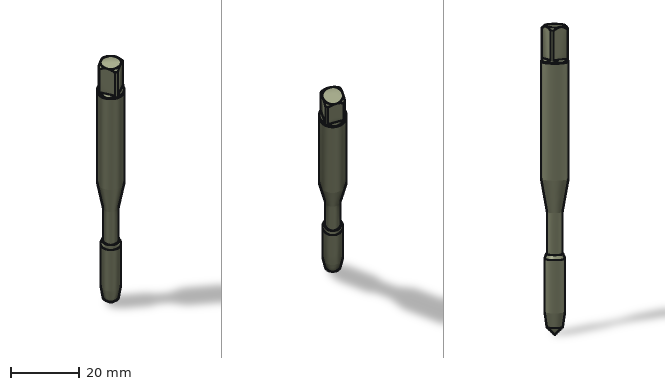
import cadquery as cq

total_length = 92.2
chamfer_base_z = 81.5
taper_top_z = 46.6
neck_top_z = 36.6
neck_bottom_z = 24.15
thread_top_z = 22.8
lead_top_z = 6.8

shank_diameter = 8.1
drive_diameter = 7.7
neck_diameter = 4.6
thread_diameter = 6.1
thread_face_diameter = 5.0
tip_diameter = 4.8

square_width = 6.1
top_diameter = square_width

shank_radius = shank_diameter / 2
drive_radius = drive_diameter / 2
neck_radius = neck_diameter / 2
thread_radius = thread_diameter / 2
thread_face_radius = thread_face_diameter / 2
tip_radius = tip_diameter / 2
top_radius = top_diameter / 2
tip_height = tip_radius
top_chamfer_height = drive_radius - top_radius
shoulder_height = shank_radius - drive_radius
flat_bottom_z = chamfer_base_z + shank_radius - square_width / 2


def revolve_profile(points):
    """Turn a closed (radius, height) outline about the Z axis."""
    return cq.Workplane("XZ").polyline(points).close().revolve(360, (0, 0), (0, 1))


def make_square_envelope():
    """Space left by the four drive flats and their 45 degree run-outs."""
    runout_height = flat_bottom_z - chamfer_base_z
    square = (
        cq.Workplane("XY")
        .workplane(offset=flat_bottom_z)
        .rect(square_width, square_width)
        .extrude(total_length - flat_bottom_z)
    )
    runout = (
        cq.Workplane("XY")
        .workplane(offset=chamfer_base_z)
        .rect(shank_diameter, shank_diameter)
        .workplane(offset=runout_height)
        .rect(square_width, square_width)
        .loft(ruled=True)
    )
    lower_shank = (
        cq.Workplane("XY")
        .rect(shank_diameter, shank_diameter)
        .extrude(chamfer_base_z)
    )
    return square.union(runout).union(lower_shank)


def make_shank():
    """Shank with its square drive, taper and neck."""
    turned = revolve_profile([
        (0, neck_bottom_z),
        (neck_radius, neck_bottom_z),
        (neck_radius, neck_top_z),
        (shank_radius, taper_top_z),
        (shank_radius, chamfer_base_z),
        (drive_radius, chamfer_base_z + shoulder_height),
        (drive_radius, total_length - top_chamfer_height),
        (top_radius, total_length),
        (0, total_length),
    ])
    return turned.intersect(make_square_envelope())


def make_thread_section():
    """Plain cylinder at the thread size: beveled end against the neck, tapered lead, pointed tip."""
    return revolve_profile([
        (0, 0),
        (tip_radius, tip_height),
        (thread_radius, lead_top_z),
        (thread_radius, thread_top_z),
        (thread_face_radius, neck_bottom_z),
        (0, neck_bottom_z),
    ])


shank = make_shank()
thread_section = make_thread_section()

result = cq.Compound.makeCompound([shank.solids().val(), thread_section.val()])